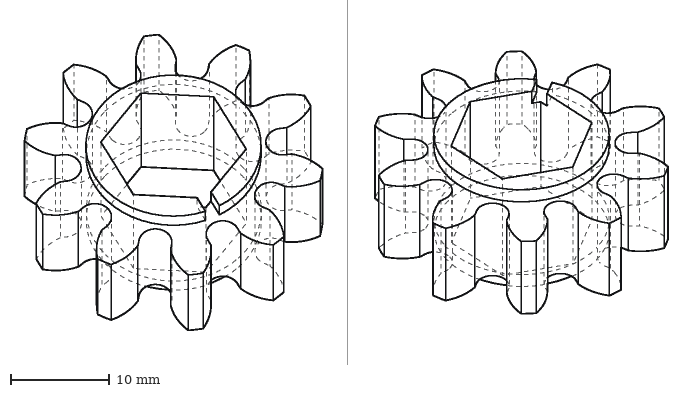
import cadquery as cq
import math

tooth_count = 10
tip_radius = 15.25
tip_half_width = 0.75
root_radius = 9.5
gap_half_width = 1.68
flank_start_radius = 11.9
flank_mid_half_width = 1.62
flank_mid_height = 13.8
cutter_overrun = 1.52

hub_diameter = 17.8
total_height = 12.65
face_width = 9.5
hub_height = (total_height - face_width) / 2

hex_across_flats = 12.8
hex_across_corners = hex_across_flats / math.cos(math.radians(30))
hub_slot_width = 1.6

tooth_pitch = 360 / tooth_count
half_pitch = math.radians(tooth_pitch / 2)


def gap_point(half_width, height):
    """Turn a point on a tooth's near side into (along, across) the neighbouring gap."""
    along = height * math.cos(half_pitch) + half_width * math.sin(half_pitch)
    across = height * math.sin(half_pitch) - half_width * math.cos(half_pitch)
    return along, across


def mirrored(point):
    return point[0], -point[1]


def make_gap_cutter():
    """Tooth gap on the +X axis: round bottom, parallel sides, then curved flanks."""
    bottom_centre = root_radius + gap_half_width
    side_start = (bottom_centre, gap_half_width)
    flank_start = (flank_start_radius, gap_half_width)
    flank_mid = gap_point(flank_mid_half_width, flank_mid_height)
    tip_height = math.sqrt(tip_radius**2 - tip_half_width**2)
    flank_end = gap_point(tip_half_width, tip_height)
    outer_corner = (tip_radius + cutter_overrun, flank_end[1])
    return (
        cq.Workplane("XY")
        .moveTo(*mirrored(side_start))
        .threePointArc((root_radius, 0), side_start)
        .lineTo(*flank_start)
        .threePointArc(flank_mid, flank_end)
        .lineTo(*outer_corner)
        .lineTo(*mirrored(outer_corner))
        .lineTo(*mirrored(flank_end))
        .threePointArc(mirrored(flank_mid), mirrored(flank_start))
        .close()
        .extrude(face_width / 2, both=True)
    )


gear = cq.Workplane("XY").circle(tip_radius).extrude(face_width / 2, both=True)
gap_cutter = make_gap_cutter()
for index in range(tooth_count):
    gear = gear.cut(gap_cutter.rotate((0, 0, 0), (0, 0, 1), index * tooth_pitch))

hub = cq.Workplane("XY").circle(hub_diameter / 2).extrude(total_height / 2, both=True)

bore = cq.Workplane("XY").polygon(6, hex_across_corners).extrude(total_height / 2, both=True)

hub_slot = (
    cq.Workplane("XY")
    .workplane(offset=face_width / 2)
    .rect(hub_diameter, hub_slot_width)
    .extrude(hub_height)
    .translate((hub_diameter / 2, 0, 0))
)

result = gear.union(hub).cut(bore).cut(hub_slot)